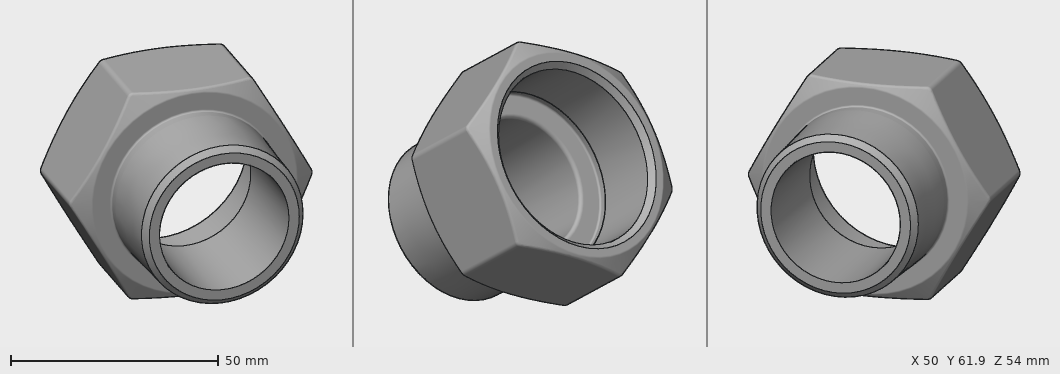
import cadquery as cq
import math

side_count = 6
across_flats = 54.0
across_corners = 61.9
hex_length = 28.05
bevel_angle = 30
bevel_face_diameter = 52.35
bevel_edge_radius = 0.85

total_length = 50.0
spigot_diameter = 42.35
straight_end = 30.9
taper_ratio = 1 / 16
tip_chamfer = 1.5
root_radius = 0.5

bore_diameter = 44.9
mouth_diameter = 47.85
relief_diameter = 45.05
relief_length = 2.0
bore_depth = 20.55
bore_floor_radius = 0.5
through_diameter = 33.0
through_edge_radius = 1.0


def revolve_about_x(profile):
    """Close a half profile, drawn as X and radius, and turn it around the X axis."""
    return profile.close().revolve(360, (0, 0, 0), (1, 0, 0))


def make_hexagon():
    """Hexagonal body with rounded corners and conical bevels on both ends."""
    sharp_corners = across_flats / math.cos(math.pi / side_count)
    corner_radius = (sharp_corners - across_corners) / (sharp_corners / across_flats - 1) / 2
    prism = cq.Workplane("YZ").polygon(side_count, sharp_corners).extrude(hex_length)
    prism = prism.edges("|X").fillet(corner_radius)

    face_radius = bevel_face_diameter / 2
    outer_radius = sharp_corners / 2
    bevel_length = (outer_radius - face_radius) * math.tan(math.radians(bevel_angle))
    bevelled_bar = revolve_about_x(cq.Workplane("XY").polyline([
        (0, 0),
        (0, face_radius),
        (bevel_length, outer_radius),
        (hex_length - bevel_length, outer_radius),
        (hex_length, face_radius),
        (hex_length, 0),
    ]))
    body = prism.intersect(bevelled_bar)

    return body.edges("not %LINE").fillet(bevel_edge_radius)


def make_spigot():
    """Spigot with a short straight stretch, then a slight taper to a chamfered tip."""
    spigot_radius = spigot_diameter / 2
    taper_end = total_length - tip_chamfer
    taper_end_radius = spigot_radius - (taper_end - straight_end) * taper_ratio / 2
    profile = (
        cq.Workplane("XY")
        .moveTo(0, 0)
        .lineTo(0, spigot_radius + root_radius)
        .lineTo(hex_length, spigot_radius + root_radius)
        .radiusArc((hex_length + root_radius, spigot_radius), -root_radius)
        .lineTo(straight_end, spigot_radius)
        .lineTo(taper_end, taper_end_radius)
        .lineTo(total_length, taper_end_radius - tip_chamfer)
        .lineTo(total_length, 0)
    )
    return revolve_about_x(profile)


def make_bore():
    """Wide bore with a chamfered mouth and a shallow relief at its floor, then a through hole."""
    bore_radius = bore_diameter / 2
    mouth_radius = mouth_diameter / 2
    mouth_chamfer = mouth_radius - bore_radius
    relief_radius = relief_diameter / 2
    relief_start = bore_depth - relief_length
    through_radius = through_diameter / 2
    profile = (
        cq.Workplane("XY")
        .moveTo(0, 0)
        .lineTo(0, mouth_radius)
        .lineTo(mouth_chamfer, bore_radius)
        .lineTo(relief_start, bore_radius)
        .lineTo(relief_start, relief_radius)
        .lineTo(bore_depth - bore_floor_radius, relief_radius)
        .radiusArc((bore_depth, relief_radius - bore_floor_radius), bore_floor_radius)
        .lineTo(bore_depth, through_radius + through_edge_radius)
        .radiusArc((bore_depth + through_edge_radius, through_radius), -through_edge_radius)
        .lineTo(total_length, through_radius)
        .lineTo(total_length, 0)
    )
    return revolve_about_x(profile)


result = make_hexagon().union(make_spigot()).cut(make_bore())